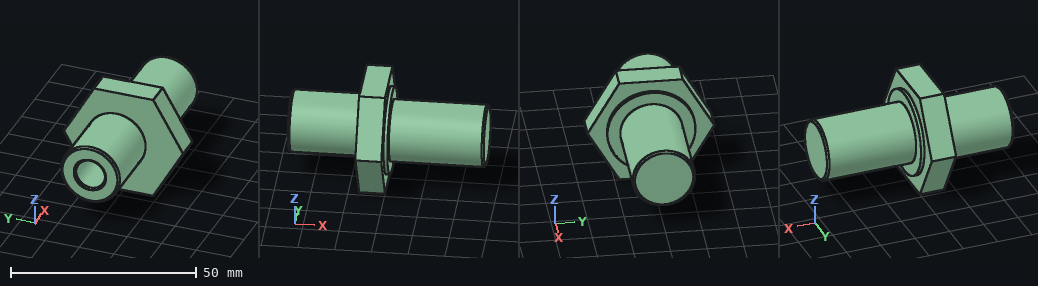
import cadquery as cq
import math

total_length = 53.6
front_stub_length = 19.7
hex_thickness = 7.1
collar_thickness = 1.0

hex_across_flats = 30.0
hex_across_corners = hex_across_flats / math.cos(math.pi / 6)
stub_diameter = 17.0
collar_diameter = 24.0
front_stub_offset = 2.05
end_chamfer = 0.55

bore_diameter = 8.35
bore_depth = front_stub_length
bore_chamfer = 0.5
drill_point_angle = 118.0

hex_start = front_stub_length
collar_start = hex_start + hex_thickness
rear_stub_start = collar_start + collar_thickness
rear_stub_length = total_length - rear_stub_start


def section_plane(x, y=0.0):
    """Sketch plane facing +X, with its horizontal direction along +Y."""
    return cq.Workplane("YZ", origin=(x, y, 0))


def make_bore():
    """Revolved cutter: entry chamfer, straight bore and conical drill point."""
    radius = bore_diameter / 2
    point_length = radius / math.tan(math.radians(drill_point_angle / 2))
    return (
        cq.Workplane("XY", origin=(0, front_stub_offset, 0))
        .moveTo(0, 0)
        .lineTo(0, radius + bore_chamfer)
        .lineTo(bore_chamfer, radius)
        .lineTo(bore_depth, radius)
        .lineTo(bore_depth + point_length, 0)
        .close()
        .revolve(360, (0, 0, 0), (1, 0, 0))
    )


front_stub = (
    section_plane(0, front_stub_offset)
    .circle(stub_diameter / 2)
    .extrude(front_stub_length)
    .faces("<X")
    .chamfer(end_chamfer)
)

hexagon = section_plane(hex_start).polygon(6, hex_across_corners).extrude(hex_thickness)

collar = section_plane(collar_start).circle(collar_diameter / 2).extrude(collar_thickness)

rear_stub = (
    section_plane(rear_stub_start)
    .circle(stub_diameter / 2)
    .extrude(rear_stub_length)
    .faces(">X")
    .chamfer(end_chamfer)
)

result = hexagon.union(front_stub).union(collar).union(rear_stub).cut(make_bore())